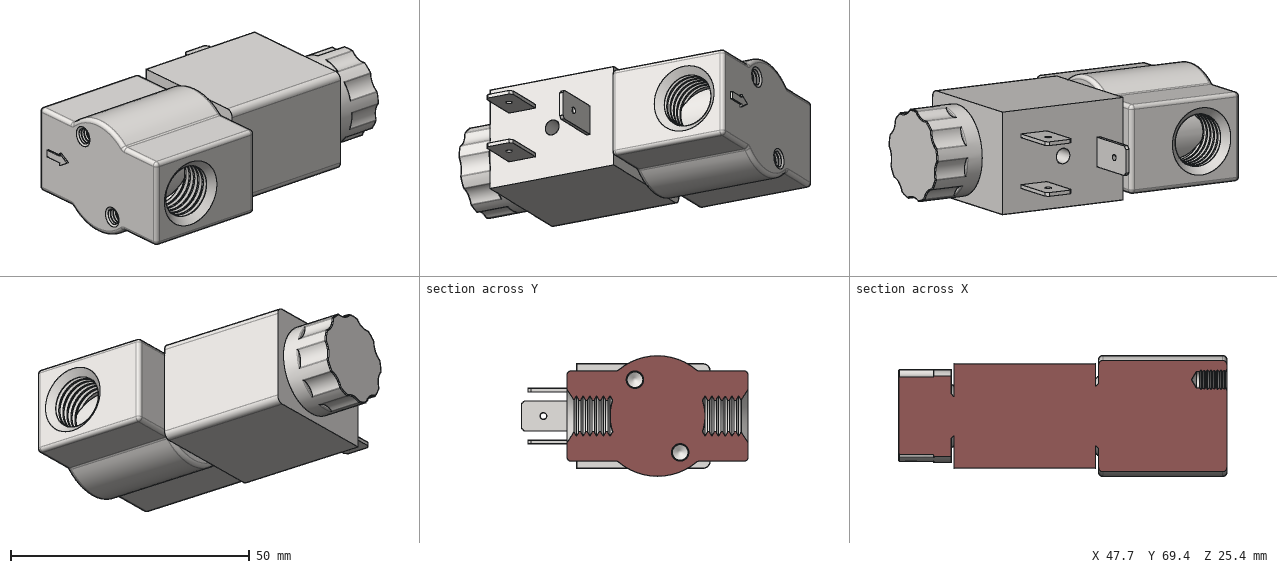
import cadquery as cq
import math


BODY_WIDTH = 38.1
BODY_HEIGHT = 19.05
BODY_LENGTH = 27.0
BULGE_RADIUS = 12.7
EDGE_RADIUS = 0.9
BLEND_RADIUS = 0.8

PORT_Y = 9.5
PORT_MOUTH_RADIUS = 7.2
PORT_COUNTERSINK_DEPTH = 1.45
PORT_ROOT_RADIUS = 6.2
PORT_CREST_RADIUS = 5.6
PORT_PITCH = 1.41
PORT_GROOVE_WIDTH = 0.95
PORT_TURNS = 6
CORE_RADIUS = 10.0

SCREW_X = 4.75
SCREW_Z = 7.63
SCREW_MOUTH_RADIUS = 2.2
SCREW_COUNTERSINK_DEPTH = 0.3
SCREW_ROOT_RADIUS = 2.0
SCREW_CREST_RADIUS = 1.65
SCREW_PITCH = 0.7
SCREW_GROOVE_WIDTH = 0.55
SCREW_TURNS = 8
DRILL_POINT_ANGLE = 118.0

ARROW_HEIGHT = 0.4
ARROW_TAIL_X = -16.0
ARROW_SHOULDER_X = -11.95
ARROW_TIP_X = -9.5
ARROW_SHAFT_WIDTH = 1.55
ARROW_HEAD_WIDTH = 2.8

COIL_GAP = 0.6
COIL_LEFT_X = -17.0
COIL_RIGHT_X = 11.05
COIL_HEIGHT = 22.0
COIL_LENGTH = 29.75
COIL_CORNER_RADIUS = 1.55
COIL_FRONT_Y = BODY_LENGTH + COIL_GAP
COIL_BACK_Y = COIL_FRONT_Y + COIL_LENGTH
SEAT_BODY_RADIUS = 8.4
SEAT_COIL_RADIUS = 7.9
COIL_HOLE_Y = 42.4
COIL_HOLE_DIAMETER = 3.3
COIL_HOLE_DEPTH = 8.0

TERMINAL_THICKNESS = 0.8
TERMINAL_WIDTH = 6.35
TERMINAL_CHAMFER = 0.65
TERMINAL_HOLE_DIAMETER = 1.35
PAIR_TIP_X = -27.25
PAIR_HOLE_X = -22.7
PAIR_Y = 49.6
PAIR_Z = 5.44
EARTH_TIP_X = -28.63
EARTH_HOLE_X = -23.97
EARTH_Y = 33.7

NECK_LENGTH = 0.55
NECK_COIL_RADIUS = 6.3
NECK_NUT_RADIUS = 6.7
NUT_RADIUS = 9.78
NUT_BACK_Y = 68.99
NUT_FRONT_Y = COIL_BACK_Y + NECK_LENGTH
NUT_CHAMFER = 0.2
FLUTE_COUNT = 9
FLUTE_LENGTH = 7.3
FLUTE_RADIUS = 4.0
FLUTE_HALF_WIDTH = 2.05
FLUTE_EDGE_RADIUS = 0.22

THREAD_LEAD = 0.4

OVERLAP = 1.0

TOLERANCE = 1e-4


def plane_at_y(y):
    """Plane facing +Y whose local axes are (-X, Z)."""
    return cq.Workplane(cq.Plane(origin=(0, y, 0), xDir=(-1, 0, 0), normal=(0, 1, 0)))


def box_between(x0, x1, y0, y1, z0, z1):
    corner_box = cq.Workplane("XY").box(x1 - x0, y1 - y0, z1 - z0, centered=False)
    return corner_box.translate((x0, y0, z0))


def cone_along_y(y0, radius0, y1, radius1):
    profile = [(0, y0), (radius0, y0), (radius1, y1), (0, y1)]
    return cq.Workplane("XY").polyline(profile).close().revolve(360, (0, 0, 0), (0, 1, 0))


def valve_body():
    half_height = BODY_HEIGHT / 2
    slab = plane_at_y(0).rect(BODY_WIDTH, BODY_HEIGHT).extrude(BODY_LENGTH)
    slab = slab.edges("|Y").fillet(EDGE_RADIUS)
    body = slab.union(plane_at_y(0).circle(BULGE_RADIUS).extrude(BODY_LENGTH))
    junction_x = math.sqrt(BULGE_RADIUS**2 - half_height**2)
    junctions = cq.selectors.BoxSelector(
        (-junction_x - TOLERANCE, 0, -half_height - TOLERANCE),
        (junction_x + TOLERANCE, BODY_LENGTH, half_height + TOLERANCE),
    )
    body = body.edges("|Y").edges(junctions).fillet(BLEND_RADIUS)
    return body.faces("<Y or >Y").edges().fillet(EDGE_RADIUS)


def thread_profile(mouth, countersink_depth, root, crest, pitch, groove_width, turns):
    """Radius and depth points of a countersunk bore with V-shaped thread grooves, mouth at depth 0."""
    points = [(0, -OVERLAP), (mouth, -OVERLAP), (mouth, 0), (crest, countersink_depth)]
    for turn in range(turns):
        groove_depth = countersink_depth + (turn + THREAD_LEAD) * pitch
        points.append((crest, groove_depth - groove_width / 2))
        points.append((root, groove_depth))
        points.append((crest, groove_depth + groove_width / 2))
    return points


def port_cutter():
    """Threaded bore along +X from the origin, running through to the body centre."""
    profile = thread_profile(
        PORT_MOUTH_RADIUS,
        PORT_COUNTERSINK_DEPTH,
        PORT_ROOT_RADIUS,
        PORT_CREST_RADIUS,
        PORT_PITCH,
        PORT_GROOVE_WIDTH,
        PORT_TURNS,
    )
    profile += [(PORT_CREST_RADIUS, BODY_WIDTH / 2), (0, BODY_WIDTH / 2)]
    points = [(depth, radius) for radius, depth in profile]
    return cq.Workplane("XY").polyline(points).close().revolve(360, (0, 0, 0), (1, 0, 0))


def ports():
    """Both port bores, each ending on the round core around the Y axis."""
    left = port_cutter().translate((-BODY_WIDTH / 2, PORT_Y, 0))
    core = plane_at_y(0).circle(CORE_RADIUS).extrude(BODY_LENGTH)
    left = left.cut(core)
    return left.union(left.mirror("YZ"))


def screw_hole(x, z):
    profile = thread_profile(
        SCREW_MOUTH_RADIUS,
        SCREW_COUNTERSINK_DEPTH,
        SCREW_ROOT_RADIUS,
        SCREW_CREST_RADIUS,
        SCREW_PITCH,
        SCREW_GROOVE_WIDTH,
        SCREW_TURNS,
    )
    thread_end = profile[-1][1] + SCREW_PITCH
    profile.append((SCREW_CREST_RADIUS, thread_end))
    tip_length = SCREW_CREST_RADIUS / math.tan(math.radians(DRILL_POINT_ANGLE / 2))
    profile.append((0, thread_end + tip_length))
    hole = cq.Workplane("XY").polyline(profile).close().revolve(360, (0, 0, 0), (0, 1, 0))
    return hole.translate((x, 0, z))


def flow_arrow():
    shaft = ARROW_SHAFT_WIDTH / 2
    head = ARROW_HEAD_WIDTH / 2
    outline = [
        (ARROW_TAIL_X, -shaft),
        (ARROW_SHOULDER_X, -shaft),
        (ARROW_SHOULDER_X, -head),
        (ARROW_TIP_X, 0),
        (ARROW_SHOULDER_X, head),
        (ARROW_SHOULDER_X, shaft),
        (ARROW_TAIL_X, shaft),
    ]
    arrow = cq.Workplane("XZ", origin=(0, OVERLAP, 0)).polyline(outline).close()
    return arrow.extrude(ARROW_HEIGHT + OVERLAP)


def coil_block():
    half_height = COIL_HEIGHT / 2
    block = box_between(
        COIL_LEFT_X, COIL_RIGHT_X, COIL_FRONT_Y, COIL_BACK_Y, -half_height, half_height
    )
    block = block.edges("|Y and >X").fillet(COIL_CORNER_RADIUS)
    hole = cq.Workplane("YZ", origin=(COIL_LEFT_X, COIL_HOLE_Y, 0))
    return block.cut(hole.circle(COIL_HOLE_DIAMETER / 2).extrude(COIL_HOLE_DEPTH))


def coil_seat():
    """Conical collar that fills the gap between the body and the coil."""
    return cone_along_y(BODY_LENGTH, SEAT_BODY_RADIUS, COIL_FRONT_Y, SEAT_COIL_RADIUS)


def terminal(tip_x, hole_x):
    """Flat blade in the XY plane, centred on Y = Z = 0, with clipped tip corners and a hole."""
    blade = box_between(
        tip_x,
        COIL_LEFT_X + OVERLAP,
        -TERMINAL_WIDTH / 2,
        TERMINAL_WIDTH / 2,
        -TERMINAL_THICKNESS / 2,
        TERMINAL_THICKNESS / 2,
    )
    blade = blade.edges("|Z and <X").chamfer(TERMINAL_CHAMFER)
    hole = cq.Workplane("XY").center(hole_x, 0).circle(TERMINAL_HOLE_DIAMETER / 2)
    return blade.cut(hole.extrude(TERMINAL_THICKNESS, both=True))


def terminals():
    pair_blade = terminal(PAIR_TIP_X, PAIR_HOLE_X)
    upper = pair_blade.translate((0, PAIR_Y, PAIR_Z))
    lower = pair_blade.translate((0, PAIR_Y, -PAIR_Z))
    earth = terminal(EARTH_TIP_X, EARTH_HOLE_X).rotate((0, 0, 0), (1, 0, 0), 90)
    return upper.union(lower).union(earth.translate((0, EARTH_Y, 0)))


def is_flute_rim(edge):
    """True for the edges where a flute meets the round outside of the nut."""
    middle = edge.positionAt(0.5)
    on_outside = math.isclose(math.hypot(middle.x, middle.z), NUT_RADIUS, abs_tol=TOLERANCE)
    flute_start = NUT_BACK_Y - FLUTE_LENGTH
    return on_outside and flute_start - TOLERANCE < middle.y < NUT_BACK_Y - TOLERANCE


def fluted_nut():
    nut = plane_at_y(NUT_FRONT_Y).circle(NUT_RADIUS).extrude(NUT_BACK_Y - NUT_FRONT_Y)
    chord_distance = math.sqrt(NUT_RADIUS**2 - FLUTE_HALF_WIDTH**2)
    flute_distance = chord_distance + math.sqrt(FLUTE_RADIUS**2 - FLUTE_HALF_WIDTH**2)
    flutes = (
        plane_at_y(NUT_BACK_Y - FLUTE_LENGTH)
        .polarArray(flute_distance, -90, 360, FLUTE_COUNT)
        .circle(FLUTE_RADIUS)
        .extrude(FLUTE_LENGTH)
    )
    nut = nut.cut(flutes)
    rims = nut.edges().filter(is_flute_rim)
    nut = rims.fillet(FLUTE_EDGE_RADIUS).faces(">Y").edges().chamfer(NUT_CHAMFER)
    return nut.union(cone_along_y(COIL_BACK_Y, NECK_COIL_RADIUS, NUT_FRONT_Y, NECK_NUT_RADIUS))


body = valve_body().cut(ports())
body = body.cut(screw_hole(-SCREW_X, SCREW_Z)).cut(screw_hole(SCREW_X, -SCREW_Z))
body = body.union(flow_arrow())
result = body.union(coil_seat()).union(coil_block()).union(terminals()).union(fluted_nut())